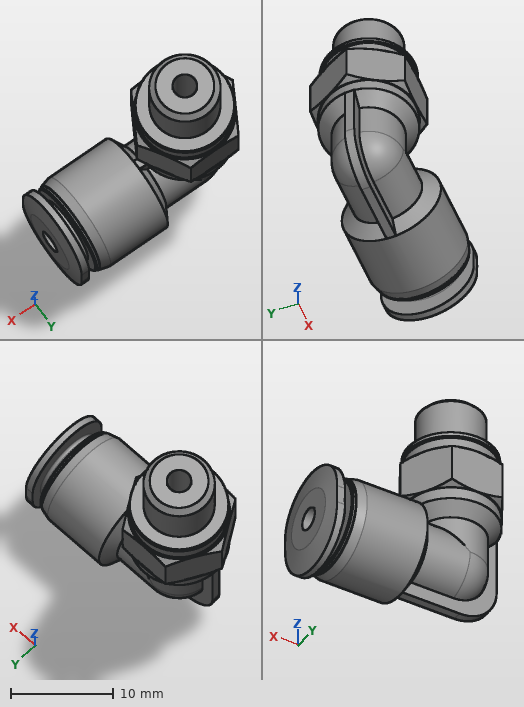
import cadquery as cq
import math


stud_top = 19.0
stud_radius = 7.0 / 2
stud_chamfer = 0.62
ring_top = 13.5
ring_bottom = 13.05
ring_radius = 9.69 / 2
groove_bottom = 12.9
groove_radius = 4.7
seat_radius = 9.6 / 2

hex_top = 11.53
hex_bottom = 6.57
hex_flats = 10.0
hex_corner_radius = hex_flats / math.sqrt(3)
hex_chamfer_angle = 30

elbow_radius = 3.65
neck_radius = 4.95
neck_taper_height = 1.37
rib_thickness = 1
rib_corner_radius = 4.25

socket_radius = 5.25
socket_cone_start = 4.88
socket_cone_end = 5.83
socket_taper_start = 12.75
socket_lip_start = 13.8
socket_taper_end_radius = 4.98
socket_lip_radius = 4.85
socket_lip_chamfer = 0.12
socket_end = 14.22
neck_bottom = socket_radius

sleeve_radius = 3.5
sleeve_fillet = 0.32
collar_start = 15.1
collar_rim_end = 15.85
collar_end = 16.28
collar_end_radius = 3.2
collar_round_radius = 4.9
collar_height = 11.8

bore_radius = 1.2


def x_cylinder(radius, length):
    return cq.Workplane("YZ").circle(radius).extrude(length)


def round_elbow(radius, height, length):
    """Vertical and horizontal cylinders joined by a ball at the origin."""
    vertical = cq.Workplane("XY").circle(radius).extrude(height)
    return vertical.union(x_cylinder(radius, length)).union(cq.Workplane("XY").sphere(radius))


def make_stud():
    """Revolved stud, sealing ring and seat above the hexagon."""
    return (
        cq.Workplane("XZ")
        .moveTo(0, hex_bottom)
        .lineTo(seat_radius, hex_bottom)
        .lineTo(seat_radius, groove_bottom)
        .lineTo(groove_radius, groove_bottom)
        .lineTo(groove_radius, ring_bottom)
        .lineTo(ring_radius, ring_bottom)
        .lineTo(ring_radius, ring_top)
        .lineTo(stud_radius, ring_top)
        .lineTo(stud_radius, stud_top - stud_chamfer)
        .lineTo(stud_radius - stud_chamfer, stud_top)
        .lineTo(0, stud_top)
        .close()
        .revolve(360, (0, 0), (0, 1))
    )


def make_hexagon():
    """Hexagon with corners on X and its corners turned off at both ends."""
    prism = (
        cq.Workplane("XY", origin=(0, 0, hex_bottom))
        .polygon(6, 2 * hex_corner_radius)
        .extrude(hex_top - hex_bottom)
    )
    flat_radius = hex_flats / 2
    drop = (hex_corner_radius - flat_radius) * math.tan(math.radians(hex_chamfer_angle))
    turned = (
        cq.Workplane("XZ")
        .moveTo(0, hex_bottom)
        .lineTo(flat_radius, hex_bottom)
        .lineTo(hex_corner_radius, hex_bottom + drop)
        .lineTo(hex_corner_radius, hex_top - drop)
        .lineTo(flat_radius, hex_top)
        .lineTo(0, hex_top)
        .close()
        .revolve(360, (0, 0), (0, 1))
    )
    return prism.intersect(turned)


def make_neck():
    """Round neck under the hexagon, tapering down to the elbow."""
    return (
        cq.Workplane("XZ")
        .moveTo(0, neck_bottom - neck_taper_height)
        .lineTo(elbow_radius, neck_bottom - neck_taper_height)
        .lineTo(neck_radius, neck_bottom)
        .lineTo(neck_radius, hex_bottom)
        .lineTo(0, hex_bottom)
        .close()
        .revolve(360, (0, 0), (0, 1))
    )


def make_rib():
    """Flat web in the plane of both axes, rounded at the outer corner."""
    return (
        cq.Workplane("XY")
        .box(
            neck_radius + socket_cone_end,
            rib_thickness,
            2 * socket_radius,
            centered=(False, True, True),
        )
        .translate((-neck_radius, 0, 0))
        .edges("|Y and <X and <Z")
        .fillet(rib_corner_radius)
    )


def make_socket():
    """Revolved tube socket and the release sleeve up to the collar."""
    fillet_start = collar_start - sleeve_fillet
    return (
        cq.Workplane("XZ")
        .moveTo(socket_cone_start, 0)
        .lineTo(socket_cone_start, elbow_radius)
        .lineTo(socket_cone_end, socket_radius)
        .lineTo(socket_taper_start, socket_radius)
        .lineTo(socket_lip_start, socket_taper_end_radius)
        .lineTo(socket_lip_start, socket_lip_radius)
        .lineTo(socket_end - socket_lip_chamfer, socket_lip_radius)
        .lineTo(socket_end, socket_lip_radius - socket_lip_chamfer)
        .lineTo(socket_end, sleeve_radius)
        .lineTo(fillet_start, sleeve_radius)
        .radiusArc((collar_start, sleeve_radius + sleeve_fillet), -sleeve_fillet)
        .lineTo(collar_start, 0)
        .close()
        .revolve(360, (0, 0), (1, 0))
    )


def make_collar():
    """Obround collar, taller along Z, with a conical outer face."""
    obround = (
        cq.Workplane("YZ", origin=(collar_start, 0, 0))
        .slot2D(collar_height, 2 * collar_round_radius, 90)
        .extrude(collar_end - collar_start)
    )
    turned = (
        cq.Workplane("XZ")
        .moveTo(collar_start, 0)
        .lineTo(collar_start, collar_height / 2)
        .lineTo(collar_rim_end, collar_height / 2)
        .lineTo(collar_end, collar_end_radius)
        .lineTo(collar_end, 0)
        .close()
        .revolve(360, (0, 0), (1, 0))
    )
    return obround.intersect(turned)


body = round_elbow(elbow_radius, hex_bottom, socket_cone_end)
for piece in (make_neck(), make_hexagon(), make_stud(), make_rib(), make_socket(), make_collar()):
    body = body.union(piece)

result = body.cut(round_elbow(bore_radius, stud_top, collar_end))